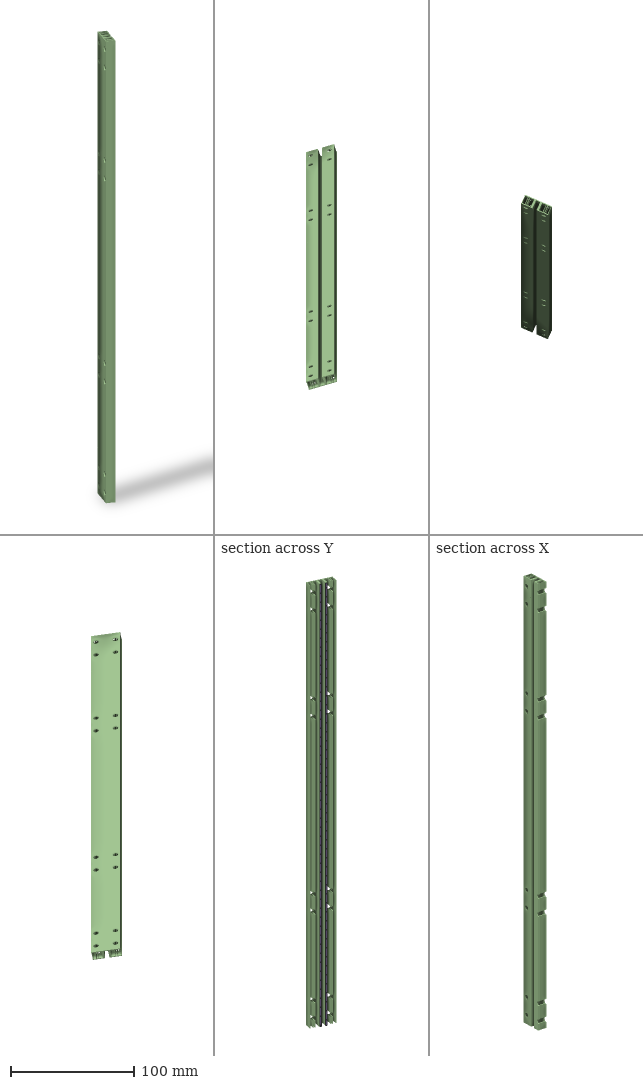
import cadquery as cq

WIDTH = 24.0
DEPTH = 8.0
LENGTH = 400.0

PLATE = 0.75
INNER_DEPTH = DEPTH - 2 * PLATE
THIN_WALL = 0.5
SIDE_INSET = 0.2
SLOT_WALL = 1.8

SLOT_WIDTH = 3.5

HOLE_X = 8.0
HOLE_HEIGHTS = (80.0, 96.0, 176.0, 192.0)
HOLE_DIAMETER = 4.0
SINK_DIAMETER = 5.0
SINK_DEPTH = (SINK_DIAMETER - HOLE_DIAMETER) / 2
SINK_ANGLE = 45

RIB_PAIR_GAP = 1.0


def bar(x_middle, x_size, y_middle, y_size):
    """Full-length bar along Z, centred on Z = 0."""
    return cq.Workplane("XY").box(x_size, y_size, LENGTH).translate((x_middle, y_middle, 0))


def wall(x_inner, thickness, side):
    """Wall between the plates, starting x_inner from the centre line."""
    return bar(side * (x_inner + thickness / 2), thickness, 0, INNER_DEPTH)


def hollow_profile():
    plate_y = (DEPTH - PLATE) / 2
    body = bar(0, WIDTH, -plate_y, PLATE).union(bar(0, WIDTH, plate_y, PLATE))
    walls = (
        (SLOT_WIDTH / 2, SLOT_WALL),
        (HOLE_X - RIB_PAIR_GAP / 2 - THIN_WALL, THIN_WALL),
        (HOLE_X + RIB_PAIR_GAP / 2, THIN_WALL),
        (WIDTH / 2 - SIDE_INSET - THIN_WALL, THIN_WALL),
    )
    for side in (-1, 1):
        for x_inner, thickness in walls:
            body = body.union(wall(x_inner, thickness, side))
    slot_opening = bar(0, SLOT_WIDTH, plate_y, PLATE)
    return body.cut(slot_opening)


def screw_holes():
    """Holes right through along Y, countersunk from the front."""
    centres = [
        (side * HOLE_X, end * height)
        for side in (-1, 1)
        for end in (-1, 1)
        for height in HOLE_HEIGHTS
    ]
    front = cq.Workplane("XZ", origin=(0, -DEPTH / 2, 0)).pushPoints(centres)
    holes = front.circle(HOLE_DIAMETER / 2).extrude(-DEPTH)
    sinks = front.circle(SINK_DIAMETER / 2).extrude(-SINK_DEPTH, taper=SINK_ANGLE)
    return holes.union(sinks)


result = hollow_profile().cut(screw_holes())